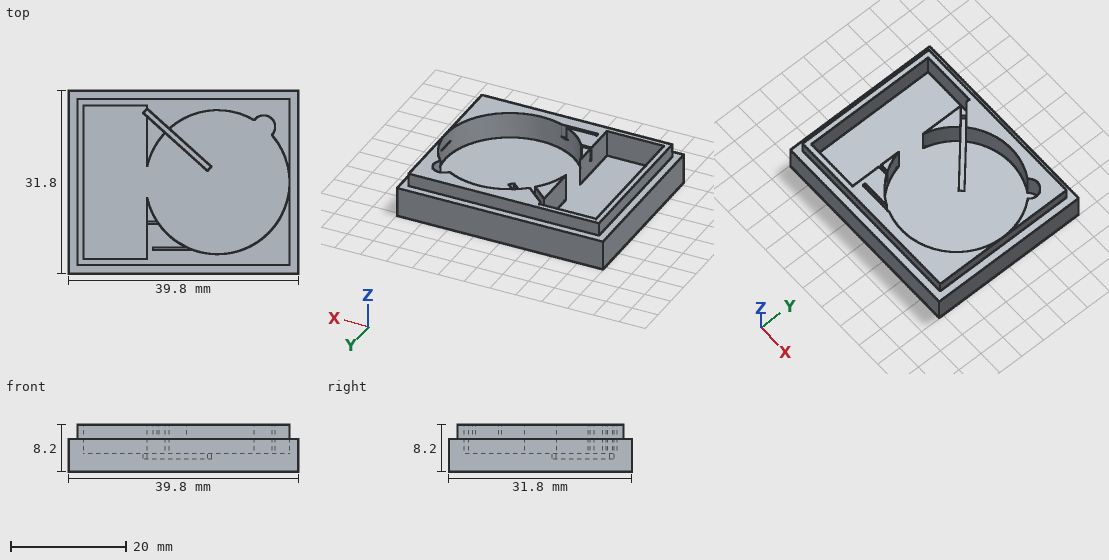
import cadquery as cq

base_length = 39.8
base_width = 31.8
total_height = 8.2
lip_height = 2.5
lip_inset = 1.5
lip_length = base_length - 2 * lip_inset
lip_width = base_width - 2 * lip_inset

recess_depth = 5.0
floor_z = total_height - recess_depth

pocket_wall = 1.1
pocket_length = 11.0
pocket_width = lip_width - 2 * pocket_wall
pocket_left = -lip_length / 2 + pocket_wall
pocket_right = pocket_left + pocket_length

round_diameter = 25.0
round_wall = 0.01
round_x = lip_length / 2 - round_wall - round_diameter / 2

notch_diameter = 4.0
notch_x = 13.9
notch_y = 9.6

diagonal_length = 15.0
diagonal_width = 1.0
diagonal_angle = -42.0
diagonal_x = -1.08
diagonal_y = 7.35
diagonal_depth_below_floor = 1.0

narrow_width = 0.5
narrow_depth = 2.5
short_slot_y = -7.03
long_slot_y = -11.55
long_slot_gap = 1.0
long_slot_left = pocket_right + long_slot_gap


def make_block():
    base_height = total_height - lip_height
    base = cq.Workplane("XY").box(base_length, base_width, base_height, centered=(True, True, False))
    lip = cq.Workplane("XY").box(lip_length, lip_width, total_height, centered=(True, True, False))
    return base.union(lip)


def make_recess():
    plane = cq.Workplane("XY").workplane(offset=floor_z)
    pocket_x = (pocket_left + pocket_right) / 2
    pocket = plane.center(pocket_x, 0).rect(pocket_length, pocket_width).extrude(recess_depth)
    round_pocket = plane.center(round_x, 0).circle(round_diameter / 2).extrude(recess_depth)
    notch = plane.center(notch_x, notch_y).circle(notch_diameter / 2).extrude(recess_depth)
    return pocket.union(round_pocket).union(notch)


def make_diagonal_slot():
    depth = recess_depth + diagonal_depth_below_floor
    slot = cq.Workplane("XY").box(diagonal_length, diagonal_width, depth, centered=(True, True, False))
    slot = slot.rotate((0, 0, 0), (0, 0, 1), diagonal_angle)
    return slot.translate((diagonal_x, diagonal_y, total_height - depth))


def make_narrow_slot(left, y):
    slot = cq.Workplane("XY").box(round_x - left, narrow_width, narrow_depth, centered=(False, True, False))
    return slot.translate((left, y, total_height - narrow_depth))


result = (
    make_block()
    .cut(make_recess())
    .cut(make_diagonal_slot())
    .cut(make_narrow_slot(pocket_right, short_slot_y))
    .cut(make_narrow_slot(long_slot_left, long_slot_y))
)